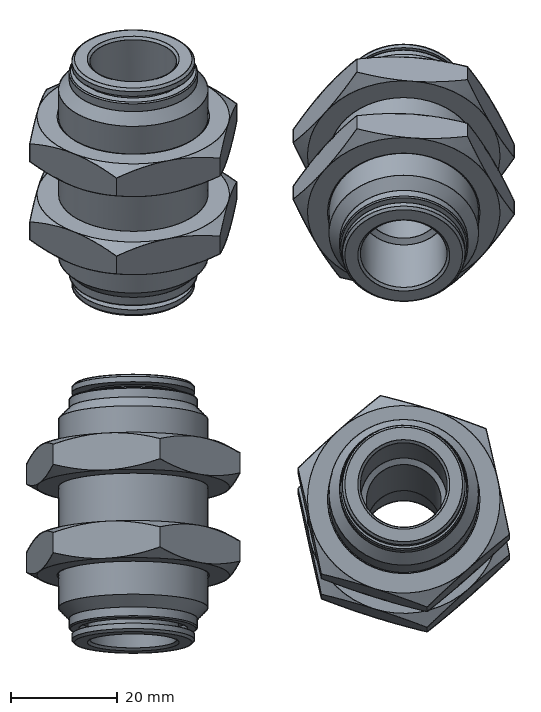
import cadquery as cq
import math

total_length = 49.0
bore_diameter = 14.0

housing_diameter = 28.0
end_diameter = 24.0
end_edge_chamfer = 0.25
housing_half_length = 21.9
recess_diameter = 20.4
recess_depth = 1.45
cone_outer_height = 20.0
cone_inner_height = 17.95

flange_diameter = 23.0
flange_thickness = 1.5
flange_chamfer = 0.5
neck_diameter = 17.0
neck_root_chamfer = 0.25
sleeve_bore_diameter = 16.2
sleeve_mouth_diameter = 17.2
sleeve_depth = 13.7
sleeve_throat_length = 0.65

nut_sides = 6
nut_width = 36.0
nut_thickness = 7.05
nut_heights = (8.6, -8.2)
nut_chamfer_angle = 30.0
nut_mouth_diameter = 28.5

half_length = total_length / 2
sleeve_inner_height = half_length - sleeve_depth


def revolve_profile(points):
    """Turn a closed (radius, height) outline about the Z axis."""
    return cq.Workplane("XZ").polyline(points).close().revolve(360, (0, 0, 0), (0, 1, 0))


def make_housing():
    """Tube with stepped, coned ends and a seat for a sleeve in each end."""
    end_radius = end_diameter / 2
    body_radius = housing_diameter / 2
    end_outline = [
        (body_radius, cone_inner_height),
        (end_radius, cone_outer_height),
        (end_radius, housing_half_length - end_edge_chamfer),
        (end_radius - end_edge_chamfer, housing_half_length),
        (recess_diameter / 2, housing_half_length),
        (recess_diameter / 2, housing_half_length - recess_depth),
        (neck_diameter / 2, housing_half_length - recess_depth),
        (neck_diameter / 2, sleeve_inner_height),
        (bore_diameter / 2, sleeve_inner_height),
    ]
    mirrored_end = [(radius, -height) for radius, height in reversed(end_outline)]
    return revolve_profile(end_outline + mirrored_end)


def make_sleeve(side):
    """Flanged release sleeve with a straight bore and a coned throat.

    The side is +1 for the upper end and -1 for the lower end.
    """
    flange_radius = flange_diameter / 2
    neck_radius = neck_diameter / 2
    mouth_radius = sleeve_mouth_diameter / 2
    bore_radius = sleeve_bore_diameter / 2
    flange_bottom = half_length - flange_thickness
    outline = [
        (mouth_radius, half_length),
        (flange_radius - flange_chamfer, half_length),
        (flange_radius, half_length - flange_chamfer),
        (flange_radius, flange_bottom),
        (neck_radius + neck_root_chamfer, flange_bottom),
        (neck_radius, flange_bottom - neck_root_chamfer),
        (neck_radius, sleeve_inner_height),
        (bore_diameter / 2, sleeve_inner_height),
        (bore_radius, sleeve_inner_height + sleeve_throat_length),
        (bore_radius, half_length - (mouth_radius - bore_radius)),
    ]
    return revolve_profile([(radius, side * height) for radius, height in outline])


def make_nut(height):
    """Hexagon nut centred at the given height, chamfered at the corners of both faces.

    The hole has a countersunk mouth on the face turned away from the middle of the fitting.
    """
    half_thickness = nut_thickness / 2
    corner_radius = nut_width / 2 / math.cos(math.pi / nut_sides)
    corner_drop = (corner_radius - nut_width / 2) * math.tan(math.radians(nut_chamfer_angle))
    hole_radius = housing_diameter / 2
    mouth_radius = nut_mouth_diameter / 2
    mouth_depth = mouth_radius - hole_radius
    hexagon = (
        cq.Workplane("XY")
        .polygon(nut_sides, 2 * corner_radius)
        .extrude(nut_thickness)
        .translate((0, 0, -half_thickness))
    )
    turned_blank = revolve_profile([
        (hole_radius, half_thickness - mouth_depth),
        (mouth_radius, half_thickness),
        (nut_width / 2, half_thickness),
        (corner_radius, half_thickness - corner_drop),
        (corner_radius, corner_drop - half_thickness),
        (nut_width / 2, -half_thickness),
        (hole_radius, -half_thickness),
    ])
    nut = hexagon.intersect(turned_blank)
    if height < 0:
        nut = nut.rotate((0, 0, 0), (1, 0, 0), 180)
    return nut.translate((0, 0, height))


housing = make_housing()
sleeves = [make_sleeve(side) for side in (1, -1)]
nuts = [make_nut(height) for height in nut_heights]

result = cq.Compound.makeCompound([housing.val(), *[body.val() for body in sleeves + nuts]])